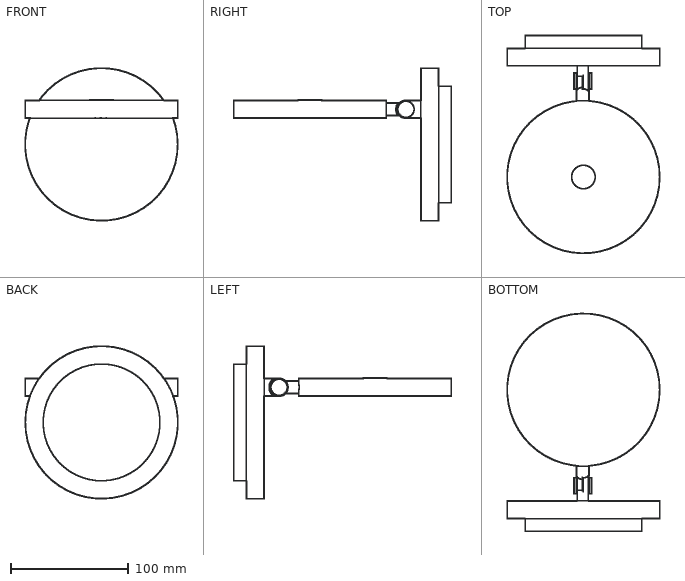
import cadquery as cq

PLATE_DIAMETER = 130.2
PLATE_THICKNESS = 15.0
SPACER_DIAMETER = 99.5
SPACER_THICKNESS = 11.0

HEAD_DIAMETER = PLATE_DIAMETER
HEAD_THICKNESS = PLATE_THICKNESS
BUTTON_DIAMETER = 20.0
BUTTON_HEIGHT = 0.5
EDGE_ROUND = 0.25
BUTTON_ROUND = 0.4
TOTAL_DEPTH = 185.7
HEAD_CENTRE_Y = -(TOTAL_DEPTH - HEAD_DIAMETER / 2)

HINGE_X = -0.5
HINGE_Y = -38.8
HINGE_Z = 29.9
HINGE_WIDTH = 9.7
EYE_RADIUS = 7.6
EYE_CLEARANCE = 1.0
EYE_GAP = 0.5
ARM_DIAMETER = 10.8

PIN_DIAMETER = 7.5
CAP_DIAMETER = 14.0
PIN_LENGTH = 15.2
CAP_GAP = 0.5
CAP_ROUND = 0.2

PLATE_FRONT_Y = -(SPACER_THICKNESS + PLATE_THICKNESS)


def disc_along_y(diameter, start_y, length, x=0, z=0):
    """Cylinder that runs from start_y toward -Y."""
    plane = cq.Workplane("XZ", origin=(x, start_y, z))
    return plane.circle(diameter / 2).extrude(length)


def hinge_cylinder(radius, start_x, end_x):
    """Cylinder on the hinge axis between two X positions, measured from the hinge centre."""
    plane = cq.Workplane("YZ", origin=(HINGE_X + start_x, HINGE_Y, HINGE_Z))
    return plane.circle(radius).extrude(end_x - start_x)


def block(start, end):
    """Box between two opposite corners."""
    size = [b - a for a, b in zip(start, end)]
    return cq.Workplane("XY").box(*size, centered=False).translate(start)


def make_wall_plate():
    """Spacer, plate and hinge lug, whose -X half is cleared for the arm's eye."""
    half_width = HINGE_WIDTH / 2
    spacer = disc_along_y(SPACER_DIAMETER, 0, SPACER_THICKNESS)
    plate = disc_along_y(PLATE_DIAMETER, -SPACER_THICKNESS, PLATE_THICKNESS)
    plate = plate.faces("<Y").edges().fillet(EDGE_ROUND)
    lug = block(
        (HINGE_X - half_width, HINGE_Y, HINGE_Z - EYE_RADIUS),
        (HINGE_X + half_width, PLATE_FRONT_Y, HINGE_Z + EYE_RADIUS),
    )
    lug = lug.union(hinge_cylinder(EYE_RADIUS, -half_width, half_width))
    eye_room = hinge_cylinder(EYE_RADIUS + EYE_CLEARANCE, -half_width, EYE_GAP / 2)
    pin_hole = hinge_cylinder(PIN_DIAMETER / 2, -half_width, half_width)
    return spacer.union(plate).union(lug.cut(eye_room).cut(pin_hole))


def make_head():
    """Flat head with a raised button, a round arm and a hinge eye on its -X half."""
    half_width = HINGE_WIDTH / 2
    centre = (0, HEAD_CENTRE_Y, HINGE_Z - HEAD_THICKNESS / 2)
    disc = cq.Workplane("XY", origin=centre).circle(HEAD_DIAMETER / 2).extrude(HEAD_THICKNESS)
    disc = disc.edges().fillet(EDGE_ROUND)
    button = cq.Workplane("XY", origin=centre).circle(BUTTON_DIAMETER / 2)
    button = button.extrude(HEAD_THICKNESS + BUTTON_HEIGHT)
    button = button.faces(">Z").edges().fillet(BUTTON_ROUND)
    arm = disc_along_y(ARM_DIAMETER, HINGE_Y, HINGE_Y - HEAD_CENTRE_Y, HINGE_X, HINGE_Z)
    arm = arm.cut(hinge_cylinder(EYE_RADIUS + EYE_CLEARANCE, -EYE_GAP / 2, ARM_DIAMETER / 2))
    arm = arm.cut(hinge_cylinder(EYE_RADIUS, -ARM_DIAMETER / 2, -EYE_GAP / 2))
    eye = hinge_cylinder(EYE_RADIUS, -half_width, -EYE_GAP / 2)
    eye = eye.cut(hinge_cylinder(PIN_DIAMETER / 2, -half_width, half_width))
    return disc.union(button).union(arm).union(eye)


def make_hinge_pin():
    """Pin through both eyes, with a wide cap just outside each eye."""
    half_length = PIN_LENGTH / 2
    cap_start = HINGE_WIDTH / 2 + CAP_GAP
    pin = hinge_cylinder(PIN_DIAMETER / 2, -half_length, half_length)
    for start_x, end_x, outer_face in ((-half_length, -cap_start, "<X"), (cap_start, half_length, ">X")):
        cap = hinge_cylinder(CAP_DIAMETER / 2, start_x, end_x)
        pin = pin.union(cap.faces(outer_face).edges().fillet(CAP_ROUND))
    return pin


wall_plate = make_wall_plate()
head = make_head()
hinge_pin = make_hinge_pin()

result = cq.Compound.makeCompound([wall_plate.val(), head.val(), hinge_pin.val()])